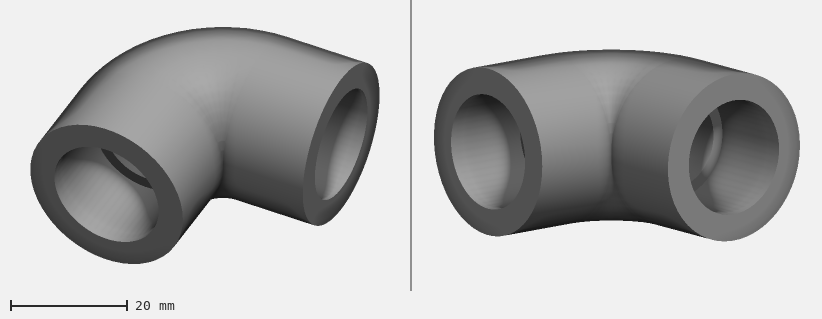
import cadquery as cq

overall_length = 44.65
outer_diameter = 29.35
socket_diameter = 20.05
bore_diameter = 16.07

bend_radius = outer_diameter / 2
leg_length = overall_length - outer_diameter
socket_depth = leg_length


def leg_cylinders(diameter, length):
    """Two cylinders, one along each leg, running inward from the open ends.

    The bend pivot is the origin; the legs open toward -Y and +X.
    """
    y_leg = (
        cq.Workplane("XZ", origin=(-bend_radius, -leg_length, 0))
        .circle(diameter / 2)
        .extrude(-length)
    )
    x_leg = (
        cq.Workplane("YZ", origin=(leg_length, bend_radius, 0))
        .circle(diameter / 2)
        .extrude(-length)
    )
    return y_leg, x_leg


def quarter_bend(diameter):
    """Quarter turn of a round section about the vertical axis through the pivot."""
    return (
        cq.Workplane("XZ", origin=(-bend_radius, 0, 0))
        .circle(diameter / 2)
        .revolve(90, (bend_radius, 0), (bend_radius, -1))
    )


y_leg, x_leg = leg_cylinders(outer_diameter, leg_length)
body = quarter_bend(outer_diameter).union(y_leg).union(x_leg)

body = body.cut(quarter_bend(bore_diameter))
for socket in leg_cylinders(socket_diameter, socket_depth):
    body = body.cut(socket)

result = body